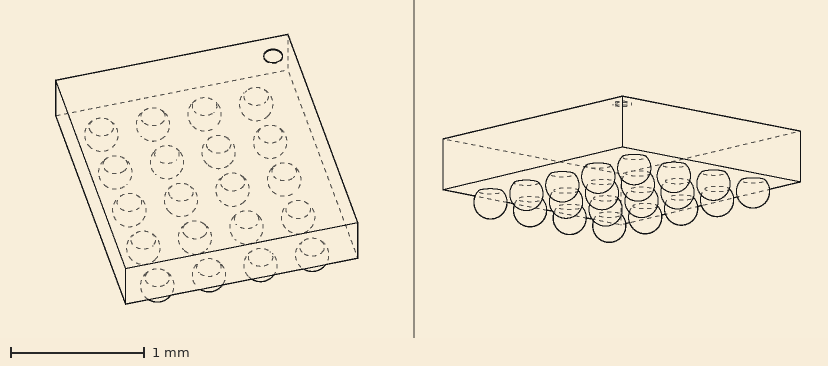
import cadquery as cq

BODY_LENGTH = 2.0
BODY_WIDTH = 1.8
BODY_HEIGHT = 0.39

BALL_COLUMNS = 5
BALL_ROWS = 4
BALL_PITCH = 0.4
BALL_DIAMETER = 0.25
STANDOFF = 0.21

MARK_DIAMETER = 0.14
MARK_DEPTH = 0.01
MARK_FROM_LEFT = 0.185
MARK_FROM_BACK = 0.165

BODY_TOP = STANDOFF + BODY_HEIGHT


def make_body():
    """Plain rectangular package, raised above Z = 0 by the standoff."""
    return (
        cq.Workplane("XY", origin=(0, 0, STANDOFF))
        .box(BODY_LENGTH, BODY_WIDTH, BODY_HEIGHT, centered=(True, True, False))
    )


def make_pin_one_mark():
    """Shallow disc to cut from the top face at the -X, +Y corner."""
    x = -BODY_LENGTH / 2 + MARK_FROM_LEFT
    y = BODY_WIDTH / 2 - MARK_FROM_BACK
    return (
        cq.Workplane("XY", origin=(x, y, BODY_TOP - MARK_DEPTH))
        .circle(MARK_DIAMETER / 2)
        .extrude(MARK_DEPTH)
    )


def make_balls():
    """Grid of balls resting on Z = 0, their tops sunk into the body."""
    radius = BALL_DIAMETER / 2
    return (
        cq.Workplane("XY", origin=(0, 0, radius))
        .rarray(BALL_PITCH, BALL_PITCH, BALL_COLUMNS, BALL_ROWS)
        .sphere(radius, combine=False)
    )


result = make_body().cut(make_pin_one_mark()).union(make_balls())